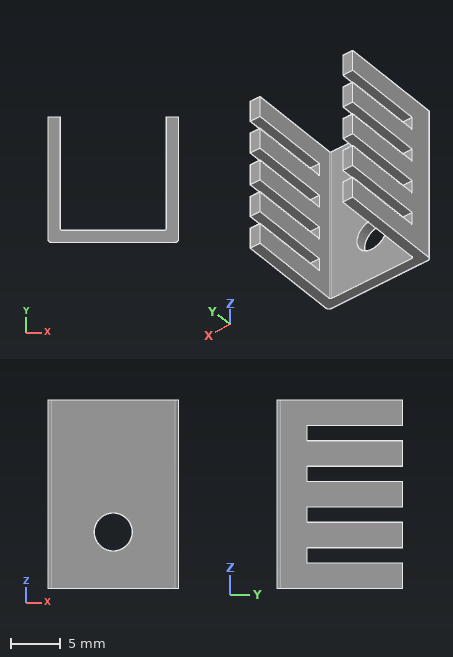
import cadquery as cq

width = 13.21
depth = 12.7
height = 19.05

wall = 1.27
outer_bend_radius = 0.381
inner_bend_radius = 0.127

fin_count = 5
slot_height = 1.524
slot_length = 9.652
fin_height = (height - (fin_count - 1) * slot_height) / fin_count
fin_pitch = fin_height + slot_height

hole_diameter = 3.81
hole_height = 5.715


def channel():
    """U channel standing along Z, base plate on the -Y side, open toward +Y."""
    outer = (
        cq.Workplane("XY")
        .box(width, depth, height, centered=(True, False, False))
        .edges("|Z and <Y")
        .fillet(outer_bend_radius)
    )
    inner = (
        cq.Workplane("XY")
        .box(width - 2 * wall, depth - wall, height, centered=(True, False, False))
        .edges("|Z and <Y")
        .fillet(inner_bend_radius)
        .translate((0, wall, 0))
    )
    return outer.cut(inner)


def fin_slot(index):
    """Slot above fin number `index`, open at the wall ends and crossing both walls."""
    bottom = index * fin_pitch + fin_height
    return (
        cq.Workplane("XY")
        .box(width, slot_length, slot_height, centered=(True, False, False))
        .translate((0, depth - slot_length, bottom))
    )


def mounting_hole():
    """Round cutter along Y, as long as the base plate is thick."""
    return (
        cq.Workplane("XZ", origin=(0, wall, hole_height))
        .circle(hole_diameter / 2)
        .extrude(wall)
    )


result = channel()
for slot_index in range(fin_count - 1):
    result = result.cut(fin_slot(slot_index))
result = result.cut(mounting_hole())